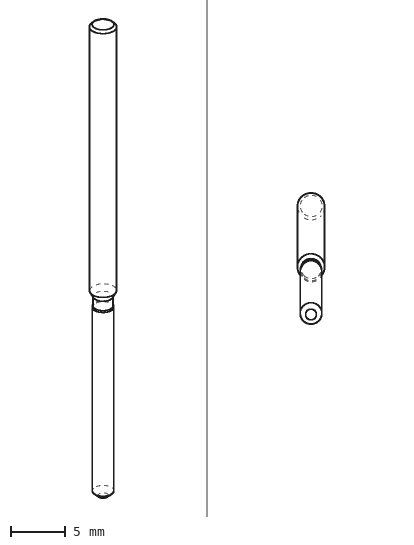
import cadquery as cq

total_length = 50.0
shank_radius = 1.25
neck_step = 0.075
pin_radius = 1.0
neck_radius = pin_radius - neck_step

pin_length = 20.15
neck_top = 21.15
shank_cone_base = 21.75

shank_top_chamfer = 0.25
pin_tip_radius = 0.5
pin_tip_height = 0.5
pin_shoulder_height = 0.15


def revolve_profile(points):
    """Revolve a closed (radius, height) outline about the Z axis."""
    return cq.Workplane("XZ").polyline(points).close().revolve(360, (0, 0, 0), (0, 1, 0))


def make_shank():
    """Thick shank with a chamfered top, tapering at the bottom to a short neck."""
    return revolve_profile([
        (0, pin_length),
        (neck_radius, pin_length),
        (neck_radius, neck_top),
        (shank_radius, shank_cone_base),
        (shank_radius, total_length - shank_top_chamfer),
        (shank_radius - shank_top_chamfer, total_length),
        (0, total_length),
    ])


def make_pin():
    """Thin pin with a conical tip and a small bevel up to the neck of the shank."""
    return revolve_profile([
        (0, 0),
        (pin_tip_radius, 0),
        (pin_radius, pin_tip_height),
        (pin_radius, pin_length - pin_shoulder_height),
        (neck_radius, pin_length),
        (0, pin_length),
    ])


shank = make_shank()
pin = make_pin()

result = cq.Compound.makeCompound([shank.val(), pin.val()])